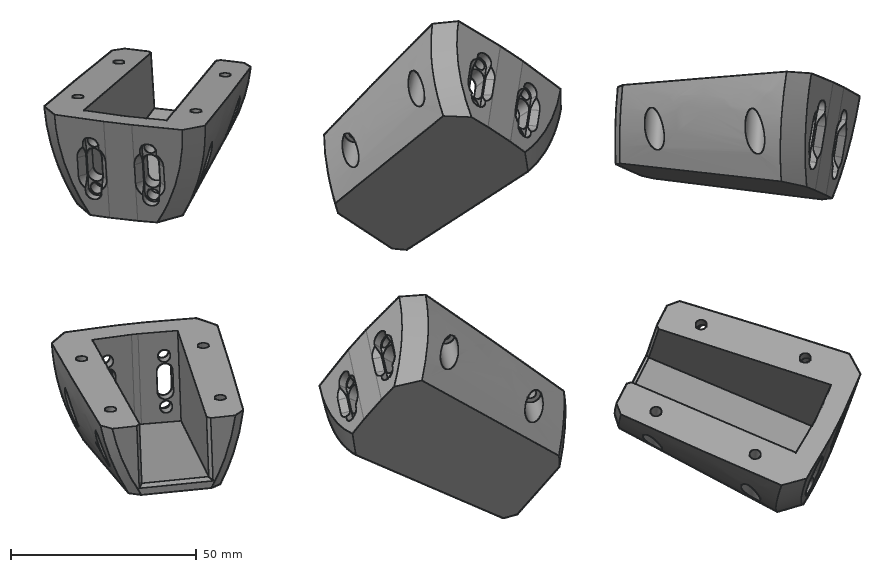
import math

import cadquery as cq

pitch = 10.0
top_roll = 0.5
top_height = 29.35
length = 56.52
section_height = 30.0

front_top_half = 23.23
front_bottom_half = 15.35
rear_top_half = 20.4
rear_bottom_half = 12.55
front_chamfer = 5.0
rear_chamfer = 2.5

facet_angle = 3.0
flat_half = 4.0
inner_flat_half = 0.9

floor_thickness = 3.0
front_wall = 6.0
pocket_front_half = 11.8
pocket_rear_half = 9.2
mouth_chamfer = 1.0

slot_x = 8.2
slot_z = 14.6
slot_width = 4.6
recess_length = 19.0
recess_depth = 2.3
through_width = 4.4
flare_width = 8.2
flare_centres = 5.75
flare_angle = 45.0
end_hole_diameter = 3.4
end_hole_spacing = 14.5

screw_lean = 10.5
screw_places = [(16.8, 11.35), (15.15, 41.35)]
screw_diameter = 3.0
screw_head_diameter = 5.6
screw_seat_depth = 4.0

clear = 60.0
slot_reach = 8.0


def pitched(shape):
    return shape.rotate((0, 0, 0), (1, 0, 0), pitch)


def mirrored_pair(shape):
    return shape.union(shape.mirror("YZ"))


def side_arc_middle(top_half, bottom_half):
    """Midpoint of the side arc, which is tangent to vertical at its top."""
    inset = top_half - bottom_half
    radius = (section_height**2 + inset**2) / (2 * inset)
    half_sweep = math.asin(section_height / radius) / 2
    x = top_half - radius * (1 - math.cos(half_sweep))
    return x, section_height - radius * math.sin(half_sweep)


def end_section(y, top_half, bottom_half):
    middle_x, middle_z = side_arc_middle(top_half, bottom_half)
    plane = cq.Plane(origin=(0, y, 0), xDir=(1, 0, 0), normal=(0, -1, 0))
    return (
        cq.Workplane(plane)
        .moveTo(-bottom_half, 0)
        .lineTo(bottom_half, 0)
        .threePointArc((middle_x, middle_z), (top_half, section_height))
        .lineTo(-top_half, section_height)
        .threePointArc((-middle_x, middle_z), (-bottom_half, 0))
        .close()
        .wire()
        .val()
    )


def facet_setback(x, strip_half):
    return (x - strip_half) * math.tan(math.radians(facet_angle))


def front_facet_cut():
    setback = facet_setback(clear, flat_half)
    wedge = (
        cq.Workplane("XY")
        .polyline([(flat_half, 0), (clear, setback), (clear, -clear), (flat_half, -clear)])
        .close()
        .extrude(clear)
    )
    return mirrored_pair(wedge)


def chamfer_side_arcs(body, end, size):
    """Chamfer the curved edges where one end face meets the bowed sides."""
    low = (-clear, -clear, section_height / 4)
    high = (clear, clear, section_height * 3 / 4)
    upright_edges = body.edges(cq.selectors.BoxSelector(low, high))
    return upright_edges.edges("not %LINE").edges(end).chamfer(size)


def outer_block():
    front = end_section(0, front_top_half, front_bottom_half)
    rear = end_section(length, rear_top_half, rear_bottom_half)
    body = cq.Workplane(cq.Solid.makeLoft([front, rear], True))
    body = body.cut(front_facet_cut())
    body = chamfer_side_arcs(body, "<Y", front_chamfer)
    return chamfer_side_arcs(body, ">Y", rear_chamfer)


def pocket():
    corner_y = front_wall + facet_setback(pocket_front_half, inner_flat_half)
    cavity = (
        cq.Workplane("XY", origin=(0, 0, floor_thickness))
        .polyline(
            [
                (-inner_flat_half, front_wall),
                (inner_flat_half, front_wall),
                (pocket_front_half, corner_y),
                (pocket_rear_half, length),
                (-pocket_rear_half, length),
                (-pocket_front_half, corner_y),
            ]
        )
        .close()
        .extrude(clear)
    )
    mouth_half = pocket_rear_half + mouth_chamfer
    mouth_floor = floor_thickness - mouth_chamfer
    mouth_profiles = []
    for y, half, base in (
        (length - mouth_chamfer, pocket_rear_half, floor_thickness),
        (length, mouth_half, mouth_floor),
    ):
        corners = [(-half, y, base), (half, y, base), (half, y, clear), (-half, y, clear)]
        vectors = [cq.Vector(*corner) for corner in corners]
        mouth_profiles.append(cq.Wire.makePolygon(vectors, close=True))
    return cavity.union(cq.Workplane(cq.Solid.makeLoft(mouth_profiles, True)))


def slot_set():
    """Flared, recessed slot and its two end holes on the +X facet."""
    angle = math.radians(facet_angle)
    plane = cq.Plane(
        origin=(slot_x, facet_setback(slot_x, flat_half), slot_z),
        xDir=(math.cos(angle), math.sin(angle), 0),
        normal=(math.sin(angle), -math.cos(angle), 0),
    )
    face = cq.Workplane(plane)
    recess = face.slot2D(recess_length, slot_width, 90).extrude(-recess_depth)
    through = face.slot2D(flare_centres + through_width, through_width, 90).extrude(-slot_reach)
    flare_depth = (flare_width - through_width) / 2 / math.tan(math.radians(flare_angle))
    flare = face.slot2D(flare_centres + flare_width, flare_width, 90)
    flare = flare.extrude(-flare_depth, taper=flare_angle)
    end_holes = (
        face.pushPoints([(0, -end_hole_spacing / 2), (0, end_hole_spacing / 2)])
        .circle(end_hole_diameter / 2)
        .extrude(-slot_reach)
    )
    return recess.union(through).union(flare).union(end_holes)


def screw_hole(x, y):
    """Leaning screw hole whose head bore breaks out through the +X side."""
    lean = math.radians(screw_lean)
    plane = cq.Plane(
        origin=(x, y, top_height),
        xDir=(0, 1, 0),
        normal=(math.sin(lean), 0, -math.cos(lean)),
    )
    axis = cq.Workplane(plane)
    shank = axis.circle(screw_diameter / 2).extrude(clear, both=True)
    head = axis.workplane(offset=screw_seat_depth).circle(screw_head_diameter / 2).extrude(clear)
    return shank.union(head)


def above_top():
    slab = cq.Workplane("XY").box(4 * clear, 4 * clear, clear, centered=(True, True, False))
    return slab.rotate((0, 0, 0), (0, 1, 0), top_roll).translate((0, 0, top_height))


result = pitched(outer_block().cut(pocket()).cut(mirrored_pair(slot_set())))
result = result.cut(above_top())
for place in screw_places:
    result = result.cut(mirrored_pair(screw_hole(*place)))